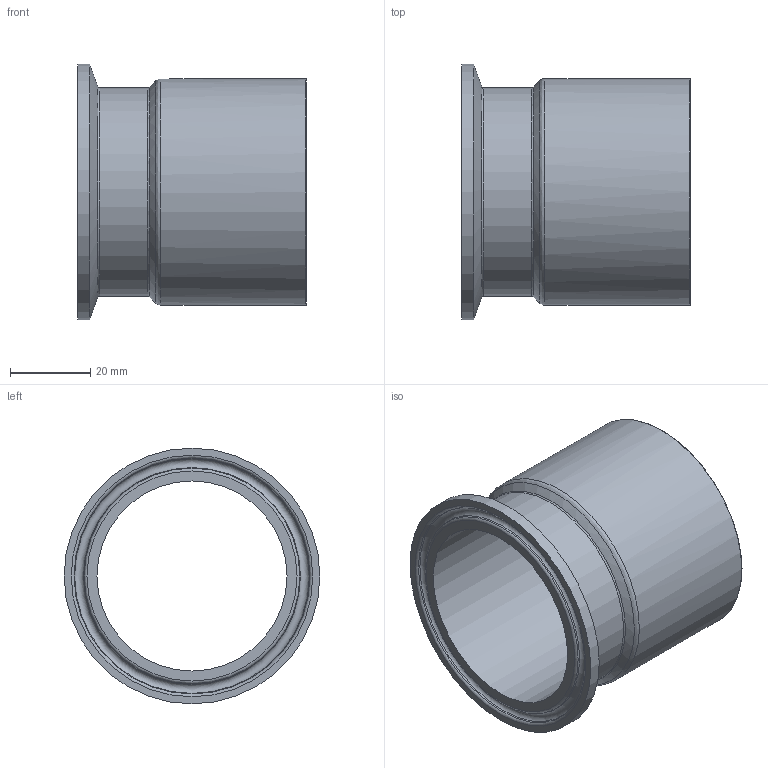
import cadquery as cq
import math

length = 57.15
flange_diameter = 63.91
neck_diameter = 52.07
body_diameter = 56.64
bore_diameter = 47.5

rim_width = 2.97
flange_back_angle = 20.0
flange_root_radius = 0.5

shoulder_start = 17.775
shoulder_root_radius = 0.66
shoulder_crest_radius = 1.77

end_edge_radius = 0.15

groove_center_radius = 28.22
groove_half_width = 1.97
groove_bottom_radius = 1.19
groove_lip_radius = 0.76
groove_flank_angle = 70.0

flange_radius = flange_diameter / 2
neck_radius = neck_diameter / 2
body_radius = body_diameter / 2
bore_radius = bore_diameter / 2
flange_back_end = rim_width + (flange_radius - neck_radius) * math.tan(math.radians(flange_back_angle))
shoulder_end = shoulder_start + body_radius - neck_radius


def revolve_about_x(profile):
    """Turn a profile of (X, radius) points into a solid of revolution about the X axis."""
    return profile.close().revolve(360, (0, 0, 0), (1, 0, 0))


def fillet_ring(body, x, radius, fillet_radius):
    """Round the circular edge that lies at the given X and radius."""
    tolerance = 0.01
    corner = cq.selectors.BoxSelector(
        (x - tolerance, -radius - tolerance, -radius - tolerance),
        (x + tolerance, radius + tolerance, radius + tolerance),
        boundingbox=True,
    )
    return body.edges(corner).fillet(fillet_radius)


def make_outer_body():
    profile = (
        cq.Workplane("XY")
        .moveTo(0, bore_radius)
        .lineTo(0, flange_radius)
        .lineTo(rim_width, flange_radius)
        .lineTo(flange_back_end, neck_radius)
        .lineTo(shoulder_start, neck_radius)
        .lineTo(shoulder_end, body_radius)
        .lineTo(length, body_radius)
        .lineTo(length, bore_radius)
    )
    body = revolve_about_x(profile)
    body = fillet_ring(body, flange_back_end, neck_radius, flange_root_radius)
    body = fillet_ring(body, shoulder_start, neck_radius, shoulder_root_radius)
    body = fillet_ring(body, shoulder_end, body_radius, shoulder_crest_radius)
    return fillet_ring(body, length, body_radius, end_edge_radius)


def make_groove_cutter():
    flank = math.radians(groove_flank_angle)

    lip_end_offset = groove_half_width - groove_lip_radius * math.sin(flank)
    lip_end_x = groove_lip_radius * (1 - math.cos(flank))
    lip_mid_offset = groove_half_width - groove_lip_radius * math.sin(flank / 2)
    lip_mid_x = groove_lip_radius * (1 - math.cos(flank / 2))
    flank_end_offset = groove_bottom_radius * math.sin(flank)
    flank_end_x = lip_end_x + (lip_end_offset - flank_end_offset) * math.tan(flank)
    groove_depth = flank_end_x + groove_bottom_radius * (1 - math.cos(flank))

    profile = (
        cq.Workplane("XY")
        .moveTo(0, groove_center_radius - groove_half_width)
        .threePointArc(
            (lip_mid_x, groove_center_radius - lip_mid_offset),
            (lip_end_x, groove_center_radius - lip_end_offset),
        )
        .lineTo(flank_end_x, groove_center_radius - flank_end_offset)
        .threePointArc(
            (groove_depth, groove_center_radius),
            (flank_end_x, groove_center_radius + flank_end_offset),
        )
        .lineTo(lip_end_x, groove_center_radius + lip_end_offset)
        .threePointArc(
            (lip_mid_x, groove_center_radius + lip_mid_offset),
            (0, groove_center_radius + groove_half_width),
        )
    )
    return revolve_about_x(profile)


result = make_outer_body().cut(make_groove_cutter())